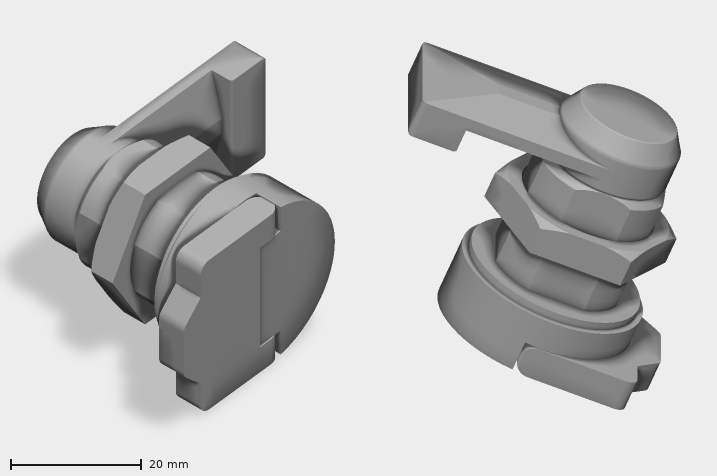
import cadquery as cq
import math


overall_length = 52.0

knob_radius = 10.0
knob_length = 9.5
knob_cone_length = 3.35
knob_face_radius = 8.0
knob_face_fillet = 0.3
knob_cone_fillet = 1.05
knob_rear_fillet = 0.5
arm_end_y = 32.0
arm_edge_front_x = 5.35
arm_edge_rear_x = 7.4
arm_ridge_front_x = 3.7
arm_ridge_half_width = 1.55
arm_ramp_length = 11.95
arm_corner_radius = 1.0
hook_rear_x = 11.5
hook_length = 8.05
hook_edge_fillet = 0.5

shank_radius = 22.0 / 2
shank_chamfer = 1.0
shank_width_across_flats = 2 * knob_radius
shank_end_x = 29.4

collar_radius = 28.0 / 2
collar_end_x = 30.75
head_radius = 30.0 / 2
head_end_x = 40.55
handle_gap = 0.2

nut_start_x = 16.4
nut_thickness = 5.35
nut_width_across_flats = 26.0
nut_chamfer_radius = 13.35
nut_chamfer_angle = 30.0

handle_end_x = 40.8
handle_thickness = 5.1
handle_hinge_fillet = 0.6
handle_shoulder_y = -16.15
handle_tip_y = arm_end_y - overall_length
handle_corner_radius = 2.0
tab_root_half_width = 8.65
pin_diameter = 2.0
lug_half_width = 10.0

handle_start_x = handle_end_x - handle_thickness
hinge_radius = handle_thickness / 2
hinge_x = handle_start_x + hinge_radius
notch_start_x = handle_start_x - handle_gap


def disc(radius, start_x, end_x):
    """Cylinder along X between two stations."""
    return cq.Workplane("YZ").workplane(offset=start_x).circle(radius).extrude(end_x - start_x)


def block(x_range, y_range, half_height):
    """Box between two X and two Y stations, symmetric about z = 0."""
    size_x = x_range[1] - x_range[0]
    size_y = y_range[1] - y_range[0]
    return (
        cq.Workplane("XY")
        .box(size_x, size_y, 2 * half_height, centered=(False, False, True))
        .translate((x_range[0], y_range[0], 0))
    )


def make_knob():
    """Round knob with a conical front and softened edges."""
    profile = [
        (0, 0),
        (0, knob_face_radius),
        (knob_cone_length, knob_radius),
        (knob_length, knob_radius),
        (knob_length, 0),
    ]
    knob = cq.Workplane("XY").polyline(profile).close().revolve(360, (0, 0, 0), (1, 0, 0))
    knob = knob.faces(">X").edges().fillet(knob_rear_fillet)
    knob = knob.faces("<X").edges().fillet(knob_face_fillet)
    cone_edge = cq.selectors.BoxSelector(
        (knob_cone_length / 2, -overall_length, -overall_length),
        (knob_length / 2, overall_length, overall_length),
    )
    return knob.edges("%CIRCLE").edges(cone_edge).fillet(knob_cone_fillet)


def make_arm():
    """Arm with a ridge on both faces, a ramped front end and a hook at its tip."""
    half_section = [
        (arm_ridge_front_x, arm_ridge_half_width),
        (arm_edge_front_x, knob_radius),
        (arm_edge_rear_x, knob_radius),
        (knob_length, arm_ridge_half_width),
    ]
    section = half_section + [(x, -z) for x, z in reversed(half_section)]
    arm = cq.Workplane("XZ").polyline(section).close().extrude(-arm_end_y)

    hook = block((arm_edge_front_x, hook_rear_x), (arm_end_y - hook_length, arm_end_y), knob_radius)
    hook = hook.faces(">X").edges("|Z").fillet(hook_edge_fillet)

    ramp = (
        cq.Workplane("XY")
        .moveTo(arm_ridge_front_x, arm_end_y - arm_ramp_length)
        .lineTo(arm_edge_front_x, arm_end_y)
        .lineTo(arm_ridge_front_x, arm_end_y)
        .close()
        .extrude(knob_radius, both=True)
    )
    outline = block((0, hook_rear_x), (0, arm_end_y), knob_radius)
    outline = outline.faces(">Y").edges("|X").fillet(arm_corner_radius)
    return arm.union(hook).cut(ramp).intersect(outline)


def make_shank():
    """Shank with a chamfered front end and four flats."""
    shank = disc(shank_radius, knob_length, shank_end_x).faces("<X").chamfer(shank_chamfer)
    flats = (
        cq.Workplane("YZ")
        .workplane(offset=knob_length)
        .rect(shank_width_across_flats, shank_width_across_flats)
        .extrude(shank_end_x - knob_length)
    )
    return shank.intersect(flats)


def make_lug():
    """Central block of the head that sits between the two hinge legs of the handle."""
    return block((notch_start_x, head_end_x), (-hinge_radius, hinge_radius), lug_half_width)


def make_pin():
    """Hinge pin along Z, flush with the outer sides of the handle."""
    return cq.Workplane("XY").center(hinge_x, 0).circle(pin_diameter / 2).extrude(head_radius, both=True)


def make_head():
    """Collar and disc, cut away below for the handle, with the hinge lug and its fixed pin."""
    collar = disc(collar_radius, shank_end_x, collar_end_x)
    head = disc(head_radius, collar_end_x, head_end_x)
    notch = block((notch_start_x, head_end_x), (-head_radius, hinge_radius), head_radius)
    return collar.union(head.cut(notch)).union(make_lug()).union(make_pin())


def make_housing():
    """Latch body: knob, arm, shank and head in one piece."""
    return make_knob().union(make_arm()).union(make_shank()).union(make_head())


def make_nut():
    """Hexagon nut with a round bore, chamfered on its front face."""
    corner_radius = nut_width_across_flats / math.sqrt(3)
    chamfer_depth = (corner_radius - nut_chamfer_radius) * math.tan(math.radians(nut_chamfer_angle))
    nut_end_x = nut_start_x + nut_thickness
    hexagon = (
        cq.Workplane("YZ")
        .workplane(offset=nut_start_x)
        .polygon(6, 2 * corner_radius)
        .extrude(nut_thickness)
    )
    chamfer_profile = [
        (nut_start_x, 0),
        (nut_start_x, nut_chamfer_radius),
        (nut_start_x + chamfer_depth, corner_radius),
        (nut_end_x, corner_radius),
        (nut_end_x, 0),
    ]
    envelope = cq.Workplane("XY").polyline(chamfer_profile).close().revolve(360, (0, 0, 0), (1, 0, 0))
    return hexagon.intersect(envelope).cut(disc(shank_radius, nut_start_x, nut_end_x))


def make_handle():
    """Flat hinged handle with a tapered tab and two round-ended hinge legs, bored for the pin."""
    tab_tip_half_width = tab_root_half_width - (handle_shoulder_y - handle_tip_y)
    plate = block((handle_start_x, handle_end_x), (handle_shoulder_y, hinge_radius), head_radius)
    plate = plate.faces("<Y").edges("|X").fillet(handle_corner_radius)
    plate = plate.faces(">Y").edges("|X").fillet(handle_hinge_fillet)

    tab = (
        cq.Workplane("YZ")
        .workplane(offset=handle_start_x)
        .moveTo(handle_shoulder_y, tab_root_half_width)
        .lineTo(handle_tip_y, tab_tip_half_width)
        .lineTo(handle_tip_y, -tab_tip_half_width)
        .lineTo(handle_shoulder_y, -tab_root_half_width)
        .close()
        .extrude(handle_thickness)
    )
    tab = tab.faces("<Y").edges("|X").fillet(handle_corner_radius)

    hinge_round = cq.Workplane("XY").center(hinge_x, 0).circle(hinge_radius).extrude(head_radius, both=True)
    side_outline = block((handle_start_x, handle_end_x), (handle_tip_y, 0), head_radius).union(hinge_round)
    handle = plate.union(tab).intersect(side_outline)

    leg_slot = block((handle_start_x, handle_end_x), (-hinge_radius, hinge_radius), lug_half_width)
    return handle.cut(leg_slot).cut(make_pin())


housing = make_housing()
nut = make_nut()
handle = make_handle()

result = cq.Compound.makeCompound([housing.val(), nut.val(), handle.val()])